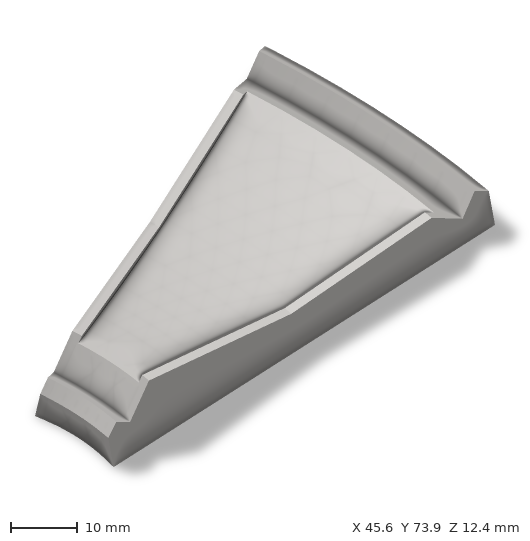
import cadquery as cq
import math


AXIS_LEAN = 37.4
HALF_SWEEP = 15
STRIP_WIDTH = 1.4
AXIS_OFFSET = 28.85
BOX_SIZE = 73.95
FLANK_LENGTH = 71.4
UNDERSIDE = -22.2

INNER_LIP = (0, 6.3)
INNER_PEAK = (1.85, 8.4)
INNER_VALLEY = (4.15, 6.7)
INNER_CREST = (8.6, 12.4)
RIM_KINK = (34.5, 7.85)
OUTER_CREST = (61.0, 9.2)
OUTER_VALLEY = (66.2, 5.2)
OUTER_PEAK = (69.1, 9.1)
OUTER_LIP = (FLANK_LENGTH, 7.3)

FLOOR_INNER_DROP = 1.0
FLOOR_OUTER_DROP = 1.2
FLOOR_MIDDLE_DROP = 1.6
LEDGE_WIDTH = 0.2
HEADROOM = 7.4


def to_sweep(point):
    """Turn a flank point into (radius, height) about the leaning axis."""
    y = point[0] + AXIS_OFFSET
    z = point[1]
    lean = math.radians(AXIS_LEAN)
    half = math.radians(HALF_SWEEP)
    across = y * math.cos(lean) - z * math.sin(lean)
    along = y * math.sin(lean) + z * math.cos(lean)
    radius = (across + STRIP_WIDTH * math.sin(half)) / math.cos(half)
    return (radius, along)


def point_below(upper, lower, drop):
    """Point on the slope from upper to lower, at the given drop."""
    share = drop / (upper[1] - lower[1])
    return (upper[0] + share * (lower[0] - upper[0]), upper[1] - drop)


def body_profile():
    flank = [
        (0, UNDERSIDE), INNER_LIP, INNER_PEAK, INNER_VALLEY, INNER_CREST, RIM_KINK,
        OUTER_CREST, OUTER_VALLEY, OUTER_PEAK, OUTER_LIP, (FLANK_LENGTH, UNDERSIDE),
    ]
    return cq.Workplane("YZ").polyline([to_sweep(p) for p in flank]).close()


def dish_profile():
    inner = point_below(INNER_CREST, INNER_VALLEY, FLOOR_INNER_DROP)
    outer = point_below(OUTER_CREST, OUTER_VALLEY, FLOOR_OUTER_DROP)
    middle = (RIM_KINK[0], RIM_KINK[1] - FLOOR_MIDDLE_DROP)
    top = INNER_CREST[1] + HEADROOM
    return (
        cq.Workplane("YZ")
        .moveTo(*to_sweep(inner))
        .threePointArc(to_sweep(middle), to_sweep(outer))
        .lineTo(*to_sweep((outer[0], top)))
        .lineTo(*to_sweep((inner[0], top)))
        .close()
    )


def sweep(profile):
    """Revolve a profile symmetrically about the axis, which here is Z."""
    swept = profile.revolve(2 * HALF_SWEEP, (0, 0), (0, 1))
    center = swept.val().Center()
    return swept.rotate((0, 0, 0), (0, 0, 1), 90 - math.degrees(math.atan2(center.y, center.x)))


def flank_layer(profile, side, thickness):
    """Straight layer on one end of the sweep; a negative thickness lies inside it."""
    layer = profile.extrude(side * thickness)
    return layer.rotate((0, 0, 0), (0, 0, 1), -side * HALF_SWEEP)


body = sweep(body_profile())
dish = sweep(dish_profile())
for side in (-1, 1):
    body = body.union(flank_layer(body_profile(), side, STRIP_WIDTH))
    dish = dish.cut(flank_layer(dish_profile(), side, -LEDGE_WIDTH))
segment = body.cut(dish)

segment = segment.rotate((0, 0, 0), (1, 0, 0), -AXIS_LEAN).translate((0, -AXIS_OFFSET, 0))
above_base = cq.Workplane("XY").box(BOX_SIZE, 2 * BOX_SIZE, BOX_SIZE, centered=(True, True, False))
result = segment.intersect(above_base)